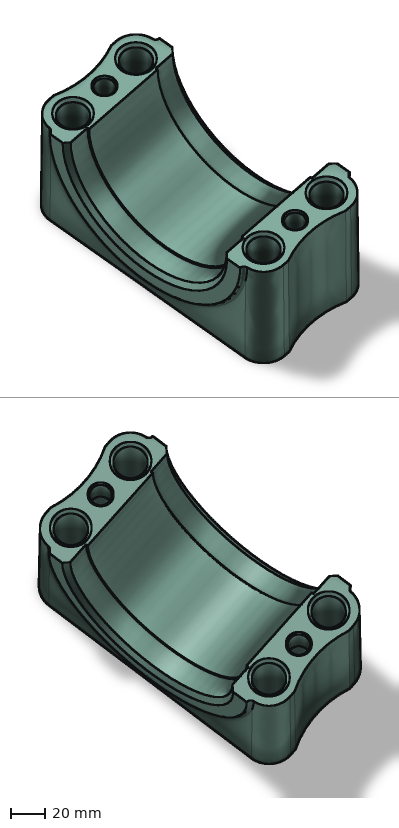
import cadquery as cq
import math

length = 186.0
height = 85.0
boss_width = 96.0
body_width = 91.5
draft_angle = 0.5

lobe_radius = 16.4
lobe_flat_length = 4.5
waist_depth = 4.8

bore_radius = 60.0
end_bore_radius = 61.4
end_bore_depth = 18.0
mouth_chamfer = 3.3
collar_radius = 75.0
collar_fillet = 2.8

bolt_x = 75.0
bolt_y = 27.5
bolt_diameter = 20.0
bolt_sink_diameter = 24.4
dowel_diameter = 13.0
dowel_sink_diameter = 15.3
dowel_depth = 18.6
sink_half_angle = 45.0
drill_half_angle = 59.0


def cone_height(diameter_change, half_angle):
    return diameter_change / 2 / math.tan(math.radians(half_angle))


def make_body():
    """Drafted block with rounded ends and concave waists."""
    end_x = length / 2
    side_y = body_width / 2
    lobe_x = end_x - lobe_radius
    lobe_y = side_y - lobe_radius
    waist_y = lobe_y - lobe_flat_length
    waist_x = end_x - waist_depth
    diagonal = lobe_radius * math.sqrt(0.5)

    def corner_middle(sign_x, sign_y):
        return (sign_x * (lobe_x + diagonal), sign_y * (lobe_y + diagonal))

    outline = (
        cq.Workplane("XY", origin=(0, 0, -height))
        .moveTo(-lobe_x, -side_y)
        .lineTo(lobe_x, -side_y)
        .threePointArc(corner_middle(1, -1), (end_x, -lobe_y))
        .lineTo(end_x, -waist_y)
        .threePointArc((waist_x, 0), (end_x, waist_y))
        .lineTo(end_x, lobe_y)
        .threePointArc(corner_middle(1, 1), (lobe_x, side_y))
        .lineTo(-lobe_x, side_y)
        .threePointArc(corner_middle(-1, 1), (-end_x, lobe_y))
        .lineTo(-end_x, waist_y)
        .threePointArc((-waist_x, 0), (-end_x, -waist_y))
        .lineTo(-end_x, -lobe_y)
        .threePointArc(corner_middle(-1, -1), (-lobe_x, -side_y))
        .close()
    )
    return outline.extrude(height, taper=draft_angle)


def make_collar_side():
    """Collar on the -Y side, with a concave fillet tangent to the drafted side face."""
    top_side_y = body_width / 2 - height * math.tan(math.radians(draft_angle))
    root_radius = collar_radius + collar_fillet
    sag = collar_fillet * (1 - math.sqrt(0.5))
    profile = (
        cq.Workplane("XY")
        .moveTo(0, -boss_width / 2)
        .lineTo(collar_radius, -boss_width / 2)
        .lineTo(collar_radius, -collar_fillet)
        .threePointArc((collar_radius + sag, -sag), (root_radius, 0))
        .lineTo(root_radius, top_side_y)
        .lineTo(0, top_side_y)
        .close()
    )
    collar = profile.revolve(360, (0, 0, 0), (0, 1, 0))
    collar = collar.rotate((0, 0, 0), (1, 0, 0), -draft_angle).translate((0, -top_side_y, 0))
    limits = cq.Workplane("XY").box(length, boss_width / 2, height, centered=(True, False, False))
    return collar.intersect(limits.translate((0, -boss_width / 2, -height)))


def make_bore():
    """Round cutter: narrow middle, wider ends and chamfered mouths."""
    face_y = boss_width / 2
    step_y = face_y - end_bore_depth
    chamfer_y = face_y - mouth_chamfer
    mouth_radius = end_bore_radius + mouth_chamfer
    profile = (
        cq.Workplane("XY")
        .moveTo(0, -face_y)
        .lineTo(mouth_radius, -face_y)
        .lineTo(end_bore_radius, -chamfer_y)
        .lineTo(end_bore_radius, -step_y)
        .lineTo(bore_radius, -step_y)
        .lineTo(bore_radius, step_y)
        .lineTo(end_bore_radius, step_y)
        .lineTo(end_bore_radius, chamfer_y)
        .lineTo(mouth_radius, face_y)
        .lineTo(0, face_y)
        .close()
    )
    return profile.revolve(360, (0, 0, 0), (0, 1, 0))


def make_hole(diameter, sink_diameter, depth, tip_height):
    """Countersunk hole cutter hanging from the origin, ending in a conical tip, or flat for zero tip height."""
    radius = diameter / 2
    sink_depth = cone_height(sink_diameter - diameter, sink_half_angle)
    return (
        cq.Workplane("XZ")
        .lineTo(sink_diameter / 2, 0)
        .lineTo(radius, -sink_depth)
        .lineTo(radius, -depth)
        .lineTo(0, -depth - tip_height)
        .close()
        .revolve(360, (0, 0, 0), (0, 1, 0))
    )


bolt_hole = make_hole(bolt_diameter, bolt_sink_diameter, height, 0)
dowel_tip = cone_height(dowel_diameter, drill_half_angle)
dowel_hole = make_hole(dowel_diameter, dowel_sink_diameter, dowel_depth, dowel_tip)

collar_side = make_collar_side()
result = make_body().union(collar_side).union(collar_side.mirror("XZ"))
result = result.cut(make_bore())
for x in (-bolt_x, bolt_x):
    for y in (-bolt_y, bolt_y):
        result = result.cut(bolt_hole.translate((x, y, 0)))
    result = result.cut(dowel_hole.translate((x, 0, 0)))